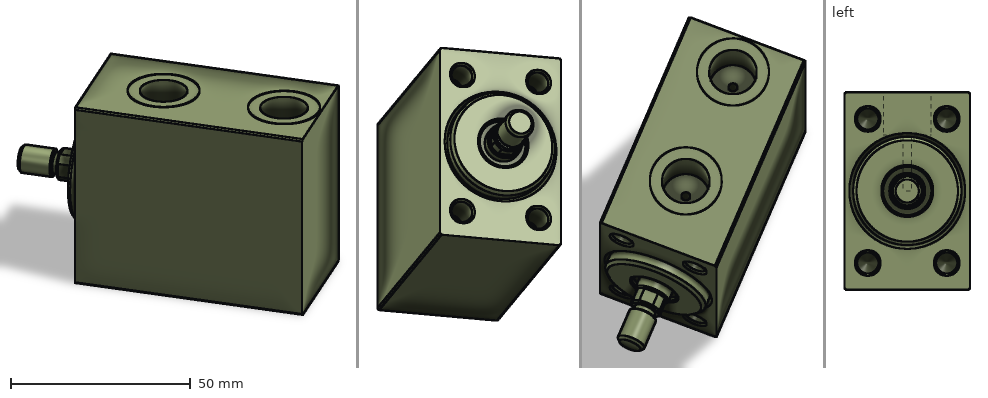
import cadquery as cq
import math


total_length = 87.0
face_x = 21.0
block_width = 35.0
block_height = 55.0
edge_chamfer = 0.5
block_top = block_height / 2

gland_radius = 15.05
gland_front_x = face_x - 3.05
gland_depth = 10.0
gland_chamfer = 1.0
recess_chamfer = 1.05
gland_end_x = face_x + gland_depth

wiper_radius = 6.7
wiper_length = 3.0
wiper_sink = 1.4
mouth_radius = 7.2
mouth_depth = 0.35
wiper_front_x = gland_front_x + wiper_sink
wiper_end_x = wiper_front_x + wiper_length

rod_diameter = 10.0
rod_radius = rod_diameter / 2
rod_end_x = 52.2
thread_radius = 4.0
tip_radius = 3.2
tip_length = 0.9
thread_end_x = 9.5
neck_start_x = 10.0
neck_cone_radius = 3.2
neck_radius = 3.05
collar_x = 11.4
collar_radius = 4.5
collar_chamfer = 0.5
flats_start_x = collar_x + collar_chamfer
shoulder_x = 15.8
flats_end_x = shoulder_x
flats_width = 8.1

front_port_x = 41.4
port_spacing = 35.0
port_radius = 6.6
port_depth = 12.0
spotface_radius = 10.0
spotface_depth = 0.2
passage_radius = 1.2

mount_y = 11.0
mount_z = 20.0
mount_radius = 3.0
mount_mouth_radius = 3.6
mount_depth = 12.2
mount_tip_angle = 118.0


def revolve_about_x(profile):
    """Solid of revolution about the X axis from (x, radius) points."""
    return cq.Workplane("XY").polyline(profile).close().revolve(360, (0, 0, 0), (1, 0, 0))


def cylinder_along_x(radius, start_x, end_x):
    return cq.Workplane("YZ", origin=(start_x, 0, 0)).circle(radius).extrude(end_x - start_x)


def make_mounting_hole():
    """Chamfered blind hole with a drill point, on the X axis."""
    mouth_chamfer = mount_mouth_radius - mount_radius
    floor_x = face_x + mount_depth
    tip_depth = mount_radius / math.tan(math.radians(mount_tip_angle / 2))
    return revolve_about_x([
        (face_x, 0),
        (face_x, mount_mouth_radius),
        (face_x + mouth_chamfer, mount_radius),
        (floor_x, mount_radius),
        (floor_x + tip_depth, 0),
    ])


def make_port(x):
    """Spotface, port bore and narrow passage, going down from the top face."""
    top = cq.Workplane("XY", origin=(x, 0, block_top))
    spotface = top.circle(spotface_radius).extrude(-spotface_depth)
    bore = top.circle(port_radius).extrude(-port_depth)
    passage = top.circle(passage_radius).extrude(-block_top)
    return spotface.union(bore).union(passage)


def make_housing():
    length = total_length - face_x
    block = cq.Workplane("XY").box(length, block_width, block_height, centered=(False, True, True))
    block = block.edges("|X").chamfer(edge_chamfer).translate((face_x, 0, 0))

    recess = revolve_about_x([
        (face_x, 0),
        (face_x, gland_radius + recess_chamfer),
        (face_x + recess_chamfer, gland_radius),
        (gland_end_x, gland_radius),
        (gland_end_x, 0),
    ])
    block = block.cut(recess).cut(cylinder_along_x(rod_radius, face_x, rod_end_x))

    for x in (front_port_x, front_port_x + port_spacing):
        block = block.cut(make_port(x))

    mounting_hole = make_mounting_hole()
    for y in (-mount_y, mount_y):
        for z in (-mount_z, mount_z):
            block = block.cut(mounting_hole.translate((0, y, z)))
    return block


def make_gland():
    return revolve_about_x([
        (gland_end_x, rod_radius),
        (gland_end_x, gland_radius),
        (gland_front_x + gland_chamfer, gland_radius),
        (gland_front_x, gland_radius - gland_chamfer),
        (gland_front_x, mouth_radius),
        (gland_front_x + mouth_depth, mouth_radius),
        (gland_front_x + mouth_depth, wiper_radius),
        (wiper_end_x, wiper_radius),
        (wiper_end_x, rod_radius),
    ])


def make_wiper():
    ring = cylinder_along_x(wiper_radius, wiper_front_x, wiper_end_x)
    return ring.cut(cylinder_along_x(rod_radius, wiper_front_x, wiper_end_x))


def make_rod():
    shoulder_length = rod_radius - collar_radius
    rod = revolve_about_x([
        (0, 0),
        (0, tip_radius),
        (tip_length, thread_radius),
        (thread_end_x, thread_radius),
        (thread_end_x, neck_cone_radius),
        (neck_start_x, neck_radius),
        (collar_x, neck_radius),
        (collar_x, collar_radius - collar_chamfer),
        (collar_x + collar_chamfer, collar_radius),
        (shoulder_x, collar_radius),
        (shoulder_x + shoulder_length, rod_radius),
        (rod_end_x, rod_radius),
        (rod_end_x, 0),
    ])

    flats_plane = cq.Workplane("YZ", origin=(flats_start_x, 0, 0))
    flats_length = flats_end_x - flats_start_x
    outside = flats_plane.circle(2 * rod_radius).extrude(flats_length).cut(
        flats_plane.rect(flats_width, flats_width).extrude(flats_length)
    )
    return rod.cut(outside)


housing = make_housing()
gland = make_gland()
wiper = make_wiper()
rod = make_rod()

result = cq.Compound.makeCompound([housing.val(), gland.val(), wiper.val(), rod.val()])